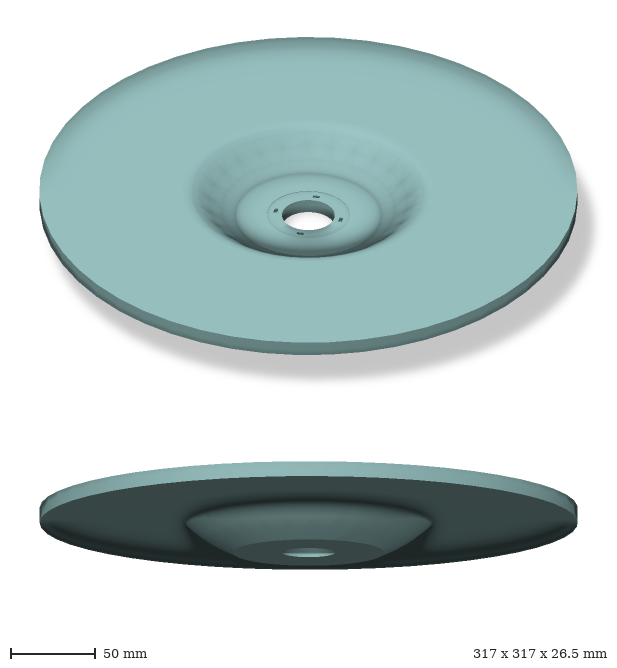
import math
import cadquery as cq

outer_radius = 158.5
thickness = 9.0
total_height = 26.5
floor_depth = total_height - thickness
floor_radius = 42.8
lip_outer_radius = 74.0
lip_bend_radius = 13.0
lip_angle = math.radians(42)

bore_radius = 15.5
seat_radius = 24.5
seat_depth = 0.3

slot_count = 4
slot_start_angle = 22.0
slot_circle_radius = 19.5
slot_length = 4.0
slot_width = 2.2
slot_depth = 1.5


def point_on_lip(bend_radius, angle):
    """Point on an arc about the lip centre, at an angle from the vertical."""
    return (
        lip_outer_radius - bend_radius * math.sin(angle),
        -lip_bend_radius + bend_radius * math.cos(angle),
    )


lip_end = point_on_lip(lip_bend_radius, lip_angle)
normal = (-math.sin(lip_angle), math.cos(lip_angle))
chord = (floor_radius - lip_end[0], -floor_depth - lip_end[1])
chord_on_normal = chord[0] * normal[0] + chord[1] * normal[1]
bowl_radius = (chord[0] ** 2 + chord[1] ** 2) / (2 * chord_on_normal)
bowl_center = (
    lip_end[0] + bowl_radius * normal[0],
    lip_end[1] + bowl_radius * normal[1],
)


def point_on_bowl(radius, z):
    """Point at height z on an arc about the bowl centre."""
    drop = bowl_center[1] - z
    return (bowl_center[0] + math.sqrt(radius ** 2 - drop ** 2), z)


def middle_of_bowl(radius, start, end):
    """Point on the bowl arc at the mean height of its two ends."""
    return point_on_bowl(radius, (start[1] + end[1]) / 2)


def make_dish():
    """Revolve the section, whose underside is offset by the thickness."""
    under_bend_radius = lip_bend_radius - thickness
    under_bowl_radius = bowl_radius + thickness
    under_lip_end = point_on_lip(under_bend_radius, lip_angle)
    floor_edge = (floor_radius, -floor_depth)
    under_floor_edge = point_on_bowl(under_bowl_radius, -total_height)
    section = (
        cq.Workplane("XZ")
        .moveTo(bore_radius, -floor_depth)
        .lineTo(*floor_edge)
        .threePointArc(middle_of_bowl(bowl_radius, floor_edge, lip_end), lip_end)
        .threePointArc(point_on_lip(lip_bend_radius, lip_angle / 2), (lip_outer_radius, 0))
        .lineTo(outer_radius, 0)
        .lineTo(outer_radius, -thickness)
        .lineTo(lip_outer_radius, -thickness)
        .threePointArc(point_on_lip(under_bend_radius, lip_angle / 2), under_lip_end)
        .threePointArc(
            middle_of_bowl(under_bowl_radius, under_lip_end, under_floor_edge),
            under_floor_edge,
        )
        .lineTo(bore_radius, -total_height)
        .close()
    )
    return section.revolve(360, (0, 0, 0), (0, 1, 0))


def make_seat():
    """Shallow round recess in the floor around the bore."""
    return (
        cq.Workplane("XY")
        .workplane(offset=-floor_depth)
        .circle(seat_radius)
        .extrude(-seat_depth)
    )


def make_slots():
    """Small blind slots in the seat, each lying along its pitch circle."""
    return (
        cq.Workplane("XY")
        .workplane(offset=-floor_depth)
        .polarArray(slot_circle_radius, slot_start_angle, 360, slot_count)
        .rect(slot_width, slot_length)
        .extrude(-seat_depth - slot_depth)
    )


result = make_dish().cut(make_seat()).cut(make_slots())